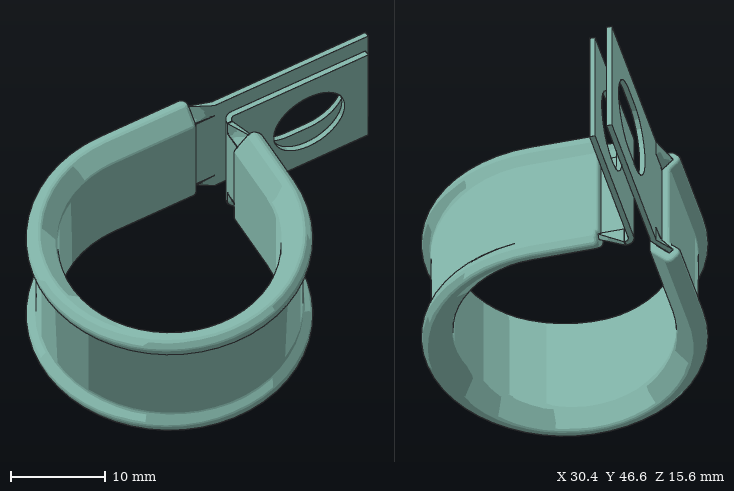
import cadquery as cq
import math


overall_length = 46.55

lip_diameter = 30.4
lip_radius = lip_diameter / 2
wall_outer_radius = 14.15
wall_inner_radius = 11.82
half_height = 7.8
bore_half_height = 5.9
corner_radius = 0.8
end_rounding = 0.5
loop_angle = 270
tab_leg_length = 10.15
bent_leg_length = 7.4

strap_thickness = 0.6
strap_half_width = 7.08
strap_mid_radius = (wall_outer_radius + wall_inner_radius) / 2
strap_inner_radius = strap_mid_radius - strap_thickness / 2
strap_outer_radius = strap_mid_radius + strap_thickness / 2
long_tab_end = overall_length - lip_radius
short_tab_end = 30.1
short_tab_left = -11.13
bend_inner_radius = 0.5
bend_outer_radius = bend_inner_radius + strap_thickness
bend_end = short_tab_left + bend_outer_radius

flare_length = 2.5
flare_half_gap = 5.25
flare_angle = 45
flare_rise = 1.2

hole_center_y = 22.95
hole_diameter = 8.6
slot_length = 11.13

tab_leg_plane = cq.Plane(origin=(0, 0, 0), xDir=(-1, 0, 0), normal=(0, 1, 0))
bent_leg_plane = cq.Plane(origin=(0, 0, 0), xDir=(0, 1, 0), normal=(-1, 0, 0))


def cushion_section():
    """Section of the cushion: a flat wall with a 45 degree rounded lip at each edge."""
    corner_loss = (math.sqrt(2) - 1) * corner_radius
    lip_top_z = half_height + corner_loss
    lip_top_r = wall_inner_radius + lip_top_z - bore_half_height
    lip_side_r = lip_radius + corner_loss
    lip_side_z = lip_top_r + lip_top_z - lip_side_r
    groove_half_height = lip_side_z - (lip_side_r - wall_outer_radius)
    upper = [
        (wall_inner_radius, bore_half_height),
        (lip_top_r, lip_top_z),
        (lip_side_r, lip_side_z),
        (wall_outer_radius, groove_half_height),
    ]
    lower = [(r, -z) for r, z in reversed(upper)]
    outline = upper + lower + upper[:1]
    return cq.Sketch().polygon(outline).vertices().fillet(corner_radius)


def cushion_leg(plane, length):
    """Straight end of the cushion with a rounded end face."""
    leg = cq.Workplane(plane).placeSketch(cushion_section()).extrude(length)
    end_face = leg.faces(cq.selectors.DirectionMinMaxSelector(plane.zDir, True))
    return end_face.edges().fillet(end_rounding)


def cushion_loop():
    """Three quarters of a turn from the -X side, past -Y and +X, to the +Y side."""
    section = cq.Workplane(tab_leg_plane).placeSketch(cushion_section())
    return section.revolve(loop_angle, (0, 0, 0), (0, 1, 0))


def strap_strip(x_min, x_max, y_min, y_max, half_width):
    """Flat piece of strap, centred on Z = 0."""
    size = (x_max - x_min, y_max - y_min, 2 * half_width)
    return cq.Workplane("XY").box(*size, centered=False).translate((x_min, y_min, -half_width))


def flares(plane, start):
    """Two strap corners that twist from flat to a 45 degree lift at the cushion end."""
    tip_r = strap_outer_radius + flare_rise
    tip_z = flare_half_gap + flare_rise
    slant = strap_thickness * math.sin(math.radians(flare_angle))
    fold_offset = strap_thickness * math.tan(math.radians(flare_angle / 2))
    lifted = [
        (strap_inner_radius, flare_half_gap + fold_offset),
        (strap_outer_radius, flare_half_gap),
        (tip_r, tip_z),
        (tip_r - slant, tip_z + slant),
    ]
    flat = [
        (strap_inner_radius, flare_half_gap),
        (strap_outer_radius, flare_half_gap),
        (strap_outer_radius, strap_half_width),
        (strap_inner_radius, strap_half_width),
    ]
    flare = (
        cq.Workplane(plane).workplane(offset=start)
        .polyline(lifted).close()
        .workplane(offset=flare_length)
        .polyline(flat).close()
        .loft(ruled=True)
    )
    return flare.union(flare.mirror("XY"))


def long_tab():
    """Straight tab on the -X side, with a slotted hole."""
    flat_start = tab_leg_length + flare_length
    faces = (-strap_outer_radius, -strap_inner_radius)
    tab = strap_strip(*faces, flat_start, long_tab_end, strap_half_width)
    tab = tab.union(strap_strip(*faces, tab_leg_length, flat_start, flare_half_gap))
    slot = (
        cq.Workplane("YZ", origin=(-strap_mid_radius, hole_center_y, 0))
        .slot2D(slot_length, hole_diameter)
        .extrude(strap_thickness, both=True)
    )
    return tab.cut(slot).union(flares(tab_leg_plane, tab_leg_length))


def short_tab():
    """Tab that leaves the +Y side along -X and bends to +Y, with a round hole."""
    tab_right = short_tab_left + strap_thickness
    bend_center_y = strap_inner_radius + bend_outer_radius
    diagonal = math.sqrt(0.5)
    tab = (
        cq.Workplane("XY", origin=(0, 0, -strap_half_width))
        .moveTo(short_tab_left, short_tab_end)
        .lineTo(short_tab_left, bend_center_y)
        .threePointArc(
            (bend_end - bend_outer_radius * diagonal, bend_center_y - bend_outer_radius * diagonal),
            (bend_end, strap_inner_radius),
        )
        .lineTo(bend_end, strap_outer_radius)
        .threePointArc(
            (bend_end - bend_inner_radius * diagonal, bend_center_y - bend_inner_radius * diagonal),
            (tab_right, bend_center_y),
        )
        .lineTo(tab_right, short_tab_end)
        .close()
        .extrude(2 * strap_half_width)
    )
    hole = (
        cq.Workplane("YZ", origin=(short_tab_left, hole_center_y, 0))
        .circle(hole_diameter / 2)
        .extrude(strap_thickness)
    )
    neck = strap_strip(
        bend_end, -bent_leg_length, strap_inner_radius, strap_outer_radius, flare_half_gap
    )
    return tab.cut(hole).union(neck).union(flares(bent_leg_plane, bent_leg_length))


result = (
    cushion_loop()
    .union(cushion_leg(tab_leg_plane, tab_leg_length))
    .union(cushion_leg(bent_leg_plane, bent_leg_length))
    .union(long_tab())
    .union(short_tab())
)